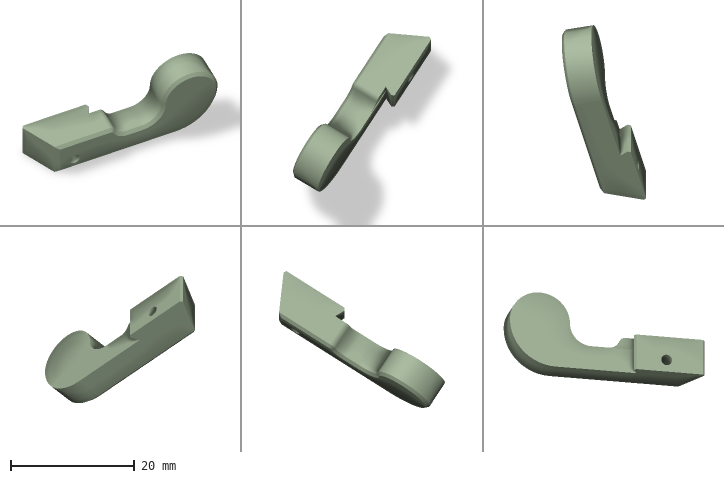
import cadquery as cq
import math

LENGTH = 32.12
WIDTH = 6.9
HEIGHT = 12.62

HEAD_RADIUS = 5.0
ARM_HEIGHT = 4.05
ARM_SIDE_X = 1.85
HEAD_Y = LENGTH - HEAD_RADIUS
HEAD_Z = HEIGHT - HEAD_RADIUS
THROAT_RADIUS = HEAD_Z - ARM_HEIGHT
THROAT_Y = HEAD_Y - HEAD_RADIUS - THROAT_RADIUS

BLOCK_HEIGHT = 6.0
BLOCK_SIDE_X = 2.0
BLOCK_TOP_END_Y = 12.85
STEP_TOP_RADIUS = 1.0
STEP_FOOT_RADIUS = 2.22
LIP_CORNER_Y = 11.98
END_SLOPE = 0.5

CHAMFER = 0.5
HOLE_DIAMETER = 1.8
HOLE_Y = 6.4
HOLE_Z = 2.02


def make_side_profile():
    """Hook outline with tangent arcs, extruded across the full width."""
    diagonal = math.sqrt(0.5)
    heel_radius = HEAD_Z
    heel_y = LENGTH - heel_radius

    step_radii = STEP_TOP_RADIUS + STEP_FOOT_RADIUS
    step_rise = BLOCK_HEIGHT - ARM_HEIGHT
    step_angle = math.acos(1 - step_rise / step_radii)

    def step_top(angle):
        return (
            BLOCK_TOP_END_Y + STEP_TOP_RADIUS * math.sin(angle),
            BLOCK_HEIGHT - STEP_TOP_RADIUS * (1 - math.cos(angle)),
        )

    foot_y = BLOCK_TOP_END_Y + step_radii * math.sin(step_angle)

    def step_foot(angle):
        return (
            foot_y - STEP_FOOT_RADIUS * math.sin(angle),
            ARM_HEIGHT + STEP_FOOT_RADIUS * (1 - math.cos(angle)),
        )

    front_y = -CHAMFER
    return (
        cq.Workplane("YZ")
        .moveTo(front_y, 0)
        .lineTo(heel_y, 0)
        .threePointArc(
            (heel_y + heel_radius * diagonal, heel_radius * (1 - diagonal)),
            (LENGTH, HEAD_Z),
        )
        .threePointArc((HEAD_Y, HEIGHT), (HEAD_Y - HEAD_RADIUS, HEAD_Z))
        .threePointArc(
            (THROAT_Y + THROAT_RADIUS * diagonal, HEAD_Z - THROAT_RADIUS * diagonal),
            (THROAT_Y, ARM_HEIGHT),
        )
        .lineTo(foot_y, ARM_HEIGHT)
        .threePointArc(step_foot(step_angle / 2), step_foot(step_angle))
        .threePointArc(step_top(step_angle / 2), (BLOCK_TOP_END_Y, BLOCK_HEIGHT))
        .lineTo(front_y, BLOCK_HEIGHT)
        .close()
        .extrude(WIDTH)
    )


def make_plan_outline():
    """Slanted front end, undercut lip and straight arm, extruded in height."""
    tip_x = CHAMFER / math.hypot(1, END_SLOPE)
    tip_drop = tip_x * END_SLOPE
    front_corner_y = -tip_drop
    return (
        cq.Workplane("XY")
        .moveTo(tip_x, 0)
        .lineTo(WIDTH, front_corner_y + WIDTH * END_SLOPE)
        .lineTo(WIDTH, LENGTH)
        .lineTo(ARM_SIDE_X, LENGTH)
        .lineTo(ARM_SIDE_X, LIP_CORNER_Y - ARM_SIDE_X * END_SLOPE)
        .lineTo(tip_x, LIP_CORNER_Y - tip_drop)
        .lineTo(0, LIP_CORNER_Y - CHAMFER)
        .lineTo(0, front_corner_y + CHAMFER)
        .close()
        .extrude(HEIGHT)
    )


def make_block_relief():
    """Shallow relief in the block side above the arm, ending at the lip."""
    return (
        cq.Workplane("XY", origin=(0, 0, ARM_HEIGHT))
        .moveTo(ARM_SIDE_X, LIP_CORNER_Y - ARM_SIDE_X * END_SLOPE)
        .lineTo(BLOCK_SIDE_X, LIP_CORNER_Y - BLOCK_SIDE_X * END_SLOPE)
        .lineTo(BLOCK_SIDE_X, THROAT_Y)
        .lineTo(ARM_SIDE_X, THROAT_Y)
        .close()
        .extrude(BLOCK_HEIGHT - ARM_HEIGHT)
    )


def make_cross_hole():
    """Hole through the block along X."""
    return (
        cq.Workplane("YZ")
        .center(HOLE_Y, HOLE_Z)
        .circle(HOLE_DIAMETER / 2)
        .extrude(WIDTH)
    )


body = make_side_profile().intersect(make_plan_outline())
body = body.faces(">X").edges().chamfer(CHAMFER)
result = body.cut(make_block_relief()).cut(make_cross_hole())